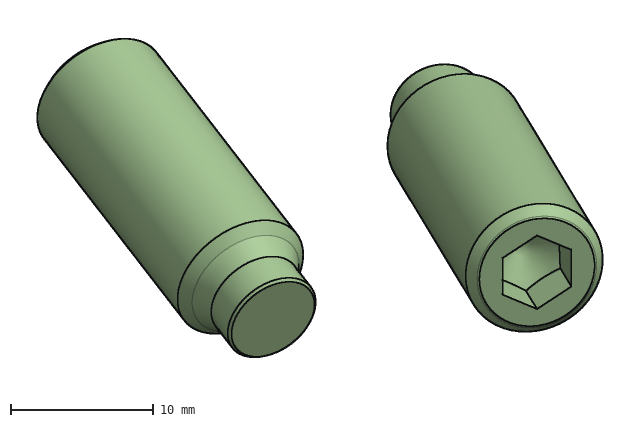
import cadquery as cq
import math

total_length = 27.0
body_radius = 5.0
end_chamfer = 0.75

face_radius = 4.2
rim_depth = 0.1

point_radius = 3.5
point_chamfer = 0.2
shoulder_end = 24.3
neck_length = 1.5
neck_arc_sag = 0.04

socket_flats = 5.0
socket_depth = 3.0
socket_cone_angle = 120.0

neck_start = shoulder_end - neck_length
neck_radius = body_radius - end_chamfer
socket_corner_radius = socket_flats / math.sqrt(3)


def make_body():
    """Turned body: half profile in the XY plane, revolved about X."""
    rim_radius = body_radius - end_chamfer + rim_depth
    neck_drop = neck_radius - point_radius
    chord = math.hypot(neck_length, neck_drop)
    neck_middle = (
        neck_start + neck_length / 2 - neck_arc_sag * neck_drop / chord,
        (neck_radius + point_radius) / 2 - neck_arc_sag * neck_length / chord,
    )
    profile = (
        cq.Workplane("XY")
        .moveTo(0, 0)
        .lineTo(0, face_radius)
        .lineTo(rim_depth, rim_radius)
        .lineTo(end_chamfer, body_radius)
        .lineTo(neck_start - end_chamfer, body_radius)
        .lineTo(neck_start, neck_radius)
        .threePointArc(neck_middle, (shoulder_end, point_radius))
        .lineTo(total_length - point_chamfer, point_radius)
        .lineTo(total_length, point_radius - point_chamfer)
        .lineTo(total_length, 0)
        .close()
    )
    return profile.revolve(360, (0, 0, 0), (1, 0, 0))


def make_socket():
    """Hexagonal prism with corners on Z, trimmed by a drill-point cone."""
    cone_length = socket_corner_radius / math.tan(math.radians(socket_cone_angle / 2))
    prism = (
        cq.Workplane("YZ")
        .polygon(6, 2 * socket_corner_radius)
        .extrude(socket_depth + cone_length)
        .rotate((0, 0, 0), (1, 0, 0), 90)
    )
    drill = (
        cq.Workplane("XY")
        .moveTo(0, 0)
        .lineTo(0, socket_corner_radius)
        .lineTo(socket_depth, socket_corner_radius)
        .lineTo(socket_depth + cone_length, 0)
        .close()
        .revolve(360, (0, 0, 0), (1, 0, 0))
    )
    return prism.intersect(drill)


result = make_body().cut(make_socket())